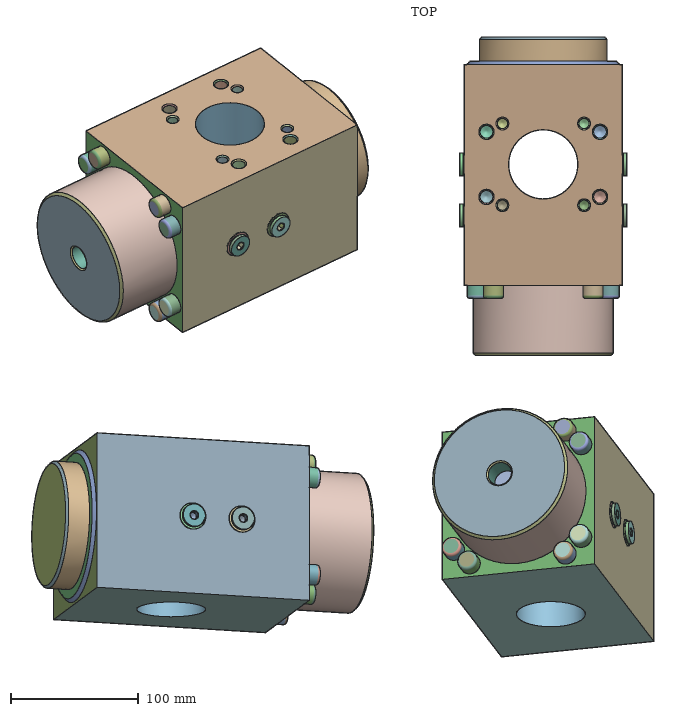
import cadquery as cq
import math

block_width = 124.0
block_front_y = -94.7
block_back_y = 78.2
main_bore_diameter = 54.0

front_cover_diameter = 110.0
front_cover_y = -150.0
front_cover_chamfer = 2.0
collar_diameter = 120.0
collar_chamfer = 2.7
back_cover_diameter = 100.0
back_cover_y = 100.0
back_cover_chamfer = 2.0

port_diameter = 18.7
port_mouth_diameter = 21.0
port_depth = 20.0

screw_head_diameter = 16.0
screw_head_height = 10.2
screw_edge_radius = 2.0
screw_near_offset = 39.0
screw_far_offset = 51.7

drill_tip_angle = 118.0
flange_hole_depth = 20.0
wide_hole_diameter = 10.0
wide_hole_mouth_diameter = 12.0
wide_hole_x = 44.5
wide_hole_y = 25.5
square_hole_diameter = 8.0
square_hole_mouth_diameter = 10.0
square_hole_offset = 32.0

plug_ys = (0.0, -40.0)
plug_head_diameter = 18.0
plug_head_thickness = 2.7
plug_neck_diameter = 15.0
plug_shank_diameter = 13.2
plug_shank_length = 12.0
plug_protrusion = 3.5
spotface_diameter = 21.0
spotface_depth = 1.0
socket_flats = 6.0
socket_mouth_diameter = 7.0
socket_depth = 5.0
socket_tip_angle = 90.0

half_width = block_width / 2
plug_seat_x = half_width - spotface_depth
plug_outer_x = half_width + plug_protrusion
plug_head_inner_x = plug_outer_x - plug_head_thickness


def cylinder(start, direction, diameter, length):
    """Solid cylinder growing from a start point along a direction."""
    return cq.Workplane(cq.Solid.makeCylinder(diameter / 2, length, cq.Vector(*start), cq.Vector(*direction)))


def cone(start, direction, start_diameter, end_diameter, length):
    """Solid cone growing from a start point along a direction."""
    return cq.Workplane(
        cq.Solid.makeCone(start_diameter / 2, end_diameter / 2, length, cq.Vector(*start), cq.Vector(*direction))
    )


def make_body_shape():
    """Block with the front cover, the tapered collar and the back cover, before any holes."""
    block = cq.Workplane("XY").box(block_width, block_back_y - block_front_y, block_width)
    block = block.translate((0, (block_front_y + block_back_y) / 2, 0))
    front_cover = cylinder((0, block_front_y, 0), (0, -1, 0), front_cover_diameter, block_front_y - front_cover_y)
    front_cover = front_cover.faces("<Y").chamfer(front_cover_chamfer)
    collar_top_diameter = collar_diameter - 2 * collar_chamfer
    collar = cone((0, block_back_y, 0), (0, 1, 0), collar_diameter, collar_top_diameter, collar_chamfer)
    back_cover = cylinder((0, block_back_y, 0), (0, 1, 0), back_cover_diameter, back_cover_y - block_back_y)
    back_cover = back_cover.faces(">Y").chamfer(back_cover_chamfer)
    return block.union(front_cover).union(collar).union(back_cover)


def make_screw_head(x, z):
    """Round-edged screw head standing on the front face of the block."""
    head = cylinder((x, block_front_y, z), (0, -1, 0), screw_head_diameter, screw_head_height)
    return head.faces("<Y").edges().fillet(screw_edge_radius)


def make_flange_hole(x, y, diameter, mouth_diameter):
    """Drilled hole in the top face with a countersunk mouth and a conical tip."""
    mouth_depth = (mouth_diameter - diameter) / 2
    tip_depth = diameter / 2 / math.tan(math.radians(drill_tip_angle / 2))
    down = (0, 0, -1)
    hole = cylinder((x, y, half_width), down, diameter, flange_hole_depth)
    mouth = cone((x, y, half_width), down, mouth_diameter, diameter, mouth_depth)
    tip = cone((x, y, half_width - flange_hole_depth), down, diameter, 0, tip_depth)
    return hole.union(mouth).union(tip)


def make_front_port():
    """Blind port with a countersunk mouth in the end of the front cover."""
    mouth_depth = (port_mouth_diameter - port_diameter) / 2
    port = cylinder((0, front_cover_y, 0), (0, 1, 0), port_diameter, port_depth)
    return port.union(cone((0, front_cover_y, 0), (0, 1, 0), port_mouth_diameter, port_diameter, mouth_depth))


def make_plug_seat(side, y):
    """Spotface and shank hole for one plug; side is -1 or 1 along X."""
    inward = (-side, 0, 0)
    spotface = cylinder((side * half_width, y, 0), inward, spotface_diameter, spotface_depth)
    return spotface.union(cylinder((side * plug_seat_x, y, 0), inward, plug_shank_diameter, plug_shank_length))


def make_housing():
    housing = make_body_shape()
    for x_sign in (-1, 1):
        for z_sign in (-1, 1):
            housing = housing.union(make_screw_head(x_sign * screw_near_offset, z_sign * screw_far_offset))
            housing = housing.union(make_screw_head(x_sign * screw_far_offset, z_sign * screw_near_offset))
    housing = housing.cut(cylinder((0, 0, -half_width), (0, 0, 1), main_bore_diameter, block_width))
    housing = housing.cut(make_front_port())
    for x_sign in (-1, 1):
        for y_sign in (-1, 1):
            housing = housing.cut(make_flange_hole(
                x_sign * wide_hole_x, y_sign * wide_hole_y, wide_hole_diameter, wide_hole_mouth_diameter
            ))
            housing = housing.cut(make_flange_hole(
                x_sign * square_hole_offset, y_sign * square_hole_offset,
                square_hole_diameter, square_hole_mouth_diameter
            ))
        for y in plug_ys:
            housing = housing.cut(make_plug_seat(x_sign, y))
    return housing


def make_plug(side, y):
    """Necked plug with a countersunk hexagon socket that ends in a conical drill tip."""
    inward = (-side, 0, 0)
    head = cylinder((side * plug_outer_x, y, 0), inward, plug_head_diameter, plug_head_thickness)
    neck_length = plug_head_inner_x - plug_seat_x
    neck = cylinder((side * plug_head_inner_x, y, 0), inward, plug_neck_diameter, neck_length)
    shank = cylinder((side * plug_seat_x, y, 0), inward, plug_shank_diameter, plug_shank_length)
    socket_corners = socket_flats / math.cos(math.pi / 6)
    socket_plane = cq.Plane(origin=(side * plug_outer_x, y, 0), xDir=(0, 1, 0), normal=inward)
    socket = cq.Workplane(socket_plane).polygon(6, socket_corners).extrude(socket_depth)
    mouth_depth = (socket_mouth_diameter - socket_flats) / 2
    mouth = cone((side * plug_outer_x, y, 0), inward, socket_mouth_diameter, socket_flats, mouth_depth)
    tip_depth = socket_flats / 2 / math.tan(math.radians(socket_tip_angle / 2))
    tip_start = (side * (plug_outer_x - socket_depth), y, 0)
    tip = cone(tip_start, inward, socket_flats, 0, tip_depth)
    return head.union(neck).union(shank).cut(socket).cut(mouth).cut(tip)


housing = make_housing()
plugs = [make_plug(side, y) for side in (-1, 1) for y in plug_ys]

result = cq.Compound.makeCompound([housing.val(), *[plug.val() for plug in plugs]])